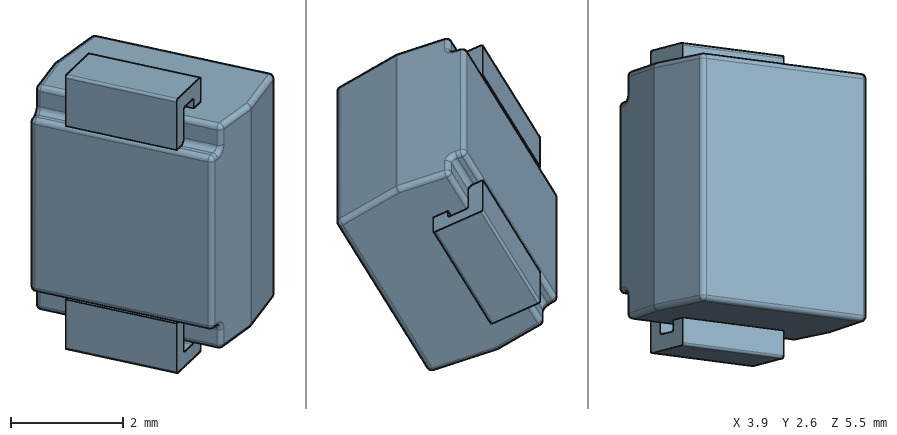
import cadquery as cq

total_length = 5.5
body_width = 3.9
body_depth = 2.6
body_length = 4.5
side_taper = 0.15
edge_radius = 0.1

pad_length = 3.475
step_corner_radius = 0.11

lead_width = 2.2
strip_thickness = 0.295
lead_depth = 1.0
bend_radius = 0.05

mounting_y = -body_depth / 2
back_y = body_depth / 2
step_y = mounting_y + strip_thickness
body_top = body_length / 2
pad_top = pad_length / 2
lead_top = total_length / 2


def edges_along_x(solid, y, z):
    """Edges of the solid that run along X at the given Y and Z."""
    reach = 0.005
    near = cq.selectors.BoxSelector(
        (-body_width, y - reach, z - reach),
        (body_width, y + reach, z + reach),
    )
    return solid.edges("|X").edges(near)


def make_body():
    """Moulded body: six-sided section with a step across each end of the mounting face."""
    parting_x = body_width / 2
    face_x = parting_x - side_taper
    section = [
        (-face_x, mounting_y),
        (face_x, mounting_y),
        (parting_x, 0),
        (face_x, back_y),
        (-face_x, back_y),
        (-parting_x, 0),
    ]
    body = cq.Workplane("XY", origin=(0, 0, -body_top)).polyline(section).close().extrude(body_length)

    step_length = body_top - pad_top
    step = cq.Workplane("XY").box(body_width, strip_thickness, step_length)
    for end in (1, -1):
        step_place = (0, mounting_y + strip_thickness / 2, end * (pad_top + step_length / 2))
        body = body.cut(step.translate(step_place))

    for end in (1, -1):
        body = edges_along_x(body, step_y, end * pad_top).fillet(step_corner_radius)

    seams = []
    for end in (1, -1):
        seams += edges_along_x(body, step_y, end * (pad_top + step_corner_radius)).vals()
        seams += edges_along_x(body, step_y - step_corner_radius, end * pad_top).vals()
    moulded_edges = [
        edge for edge in body.edges().vals() if not any(edge.isSame(seam) for seam in seams)
    ]
    return body.newObject(moulded_edges).fillet(edge_radius)


def make_lead():
    """Upper lead: a hook that stands on the body end and folds down into the step."""
    rear_y = mounting_y + lead_depth
    hook_y = rear_y - strip_thickness
    inner_top = lead_top - strip_thickness
    outline = [
        (rear_y, body_top),
        (rear_y, lead_top),
        (mounting_y, lead_top),
        (mounting_y, pad_top),
        (step_y, pad_top),
        (step_y, inner_top),
        (hook_y, inner_top),
        (hook_y, body_top),
    ]
    flat_end = cq.Workplane("YZ", origin=(-lead_width / 2, 0, 0))
    lead = flat_end.polyline(outline).close().extrude(lead_width)

    bends = [
        (rear_y, lead_top),
        (mounting_y, lead_top),
        (step_y, inner_top),
        (hook_y, inner_top),
    ]
    for y, z in bends:
        lead = edges_along_x(lead, y, z).fillet(bend_radius)

    return edges_along_x(lead, step_y, pad_top).fillet(step_corner_radius)


body = make_body()

upper_lead = make_lead()
lower_lead = upper_lead.mirror("XY")

result = cq.Compound.makeCompound([body.val(), upper_lead.val(), lower_lead.val()])